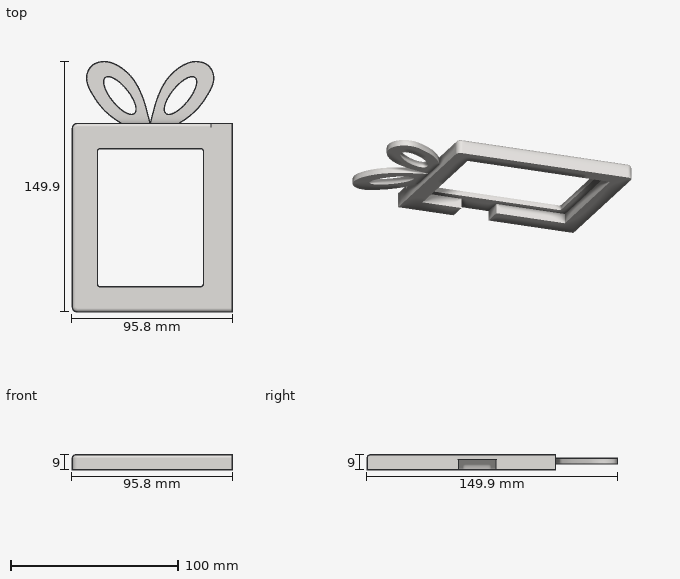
import cadquery as cq

body_width = 95.8
body_depth = 112.8
body_height = 9.0
body_left = -46.6
body_right = body_left + body_width
corner_radius = 3.0
top_edge_radius = 2.1

window_width = 63.2
window_depth = 82.4
window_center = (0.1, body_depth / 2)
window_corner_radius = 1.5
plate_thickness = 3.0

pocket_margin = 4.6
pocket_width = window_width + 2 * pocket_margin
pocket_depth = window_depth + 2 * pocket_margin
pocket_height = body_height - plate_thickness
pocket_right = window_center[0] + pocket_width / 2

notch_length = 22.5
notch_center_y = 66.0

bow_thickness = 3.6
bow_top = body_height - top_edge_radius
bow_root_overlap = 1.5
loop_top = 149.9
loop_hole_center = (18.1, 129.5)
loop_hole_long_radius = 13.8
loop_hole_short_radius = 5.4
loop_hole_angle = 51.0
loop_inner_root = (0.0, body_depth)
loop_outer_root = (17.2, body_depth)
loop_outline = [
    (3.9, 127.0),
    (9.7, 138.8),
    (17.2, 146.1),
    (27.1, loop_top),
    (35.0, 147.2),
    (38.0, 140.7),
    (34.6, 130.2),
    (28.5, 121.7),
    loop_outer_root,
]


def corner_box(left, front, width, depth, height, bottom=0.0):
    """Box given by its left, front and bottom faces."""
    box = cq.Workplane("XY").box(width, depth, height, centered=False)
    return box.translate((left, front, bottom))


def make_body():
    """Block rounded on the left, front and back, with a square top edge at the back right."""
    body = corner_box(body_left, 0, body_width, body_depth, body_height)
    body = body.edges("|Z and <X").fillet(corner_radius)
    body = body.faces(">Z").edges("not >X").fillet(top_edge_radius)
    square_edge = corner_box(
        pocket_right,
        body_depth - top_edge_radius,
        body_right - pocket_right,
        top_edge_radius,
        top_edge_radius,
        body_height - top_edge_radius,
    )
    return body.union(square_edge)


def make_window():
    window = cq.Workplane("XY").center(*window_center).rect(window_width, window_depth)
    return window.extrude(body_height).edges("|Z").fillet(window_corner_radius)


def make_pocket():
    pocket = cq.Workplane("XY").center(*window_center).rect(pocket_width, pocket_depth)
    return pocket.extrude(pocket_height)


def make_notch():
    return corner_box(
        pocket_right,
        notch_center_y - notch_length / 2,
        body_right - pocket_right,
        notch_length,
        pocket_height,
    )


def make_loop():
    """Right loop of the bow, its root sunk a little into the back wall."""
    root_y = body_depth - bow_root_overlap
    plane = cq.Workplane("XY").workplane(offset=bow_top - bow_thickness)
    loop = (
        plane.moveTo(*loop_inner_root)
        .spline(loop_outline, includeCurrent=True)
        .lineTo(loop_outer_root[0], root_y)
        .lineTo(loop_inner_root[0], root_y)
        .close()
        .extrude(bow_thickness)
    )
    hole = (
        plane.center(*loop_hole_center)
        .ellipse(loop_hole_long_radius, loop_hole_short_radius, loop_hole_angle)
        .extrude(bow_thickness)
    )
    return loop.cut(hole)


right_loop = make_loop()
left_loop = right_loop.mirror("YZ")

result = make_body().cut(make_window()).cut(make_pocket()).cut(make_notch())
result = result.union(right_loop).union(left_loop)